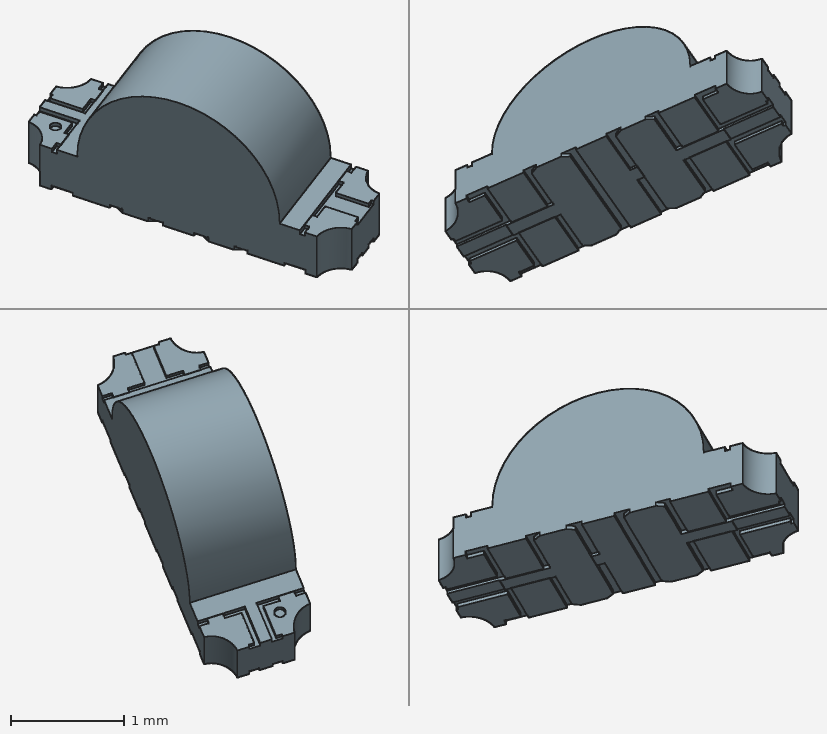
import cadquery as cq

LENGTH = 3.2
WIDTH = 1.0
HEIGHT = 1.5
HALF_LENGTH = LENGTH / 2
HALF_WIDTH = WIDTH / 2

BOTTOM_FILM_Z = 0.01
BOTTOM_CORE_Z = 0.04
TOP_CORE_Z = 0.44
TOP_PAD_Z = 0.477
LEDGE_Z = 0.483

LENS_CENTRE_Z = 0.5
LENS_RADIUS = HEIGHT - LENS_CENTRE_Z

CORNER_RADIUS = 0.25
CORNER_OFFSET = 0.02

LEDGE_HALF_LENGTH = 1.203
CHANNEL_WIDTH = 0.048
PAD_INNER_Y = 0.102
STEM_HALF_WIDTH = PAD_INNER_Y - CHANNEL_WIDTH
LINK_INNER_Y = 0.26
LINK_OUTER_Y = 0.41
END_NOTCH_Y = 0.157
END_NOTCH_DEPTH = 0.022

HOLE_RADIUS = 0.05
HOLE_X = -1.36
HOLE_Y = -0.218

END_PAD_INNER_X = 1.1
END_PAD_SIDE_X = 1.258
END_PAD_STEP_DEPTH = 0.05
END_CHANNEL_INNER_X = 1.045
BOTTOM_PAD_INNER_Y = 0.128
BOTTOM_STEM_HALF_WIDTH = 0.065
BOTTOM_NOTCH_Y = 0.157

MIDDLE_PAD_X = 0.425
MIDDLE_PAD_SIDE_HALF = 0.125
MIDDLE_PAD_CHAMFER_X = 0.07
MIDDLE_PAD_CHAMFER_Y = 0.04
MIDDLE_PAD_HALF = MIDDLE_PAD_SIDE_HALF + MIDDLE_PAD_CHAMFER_X
MIDDLE_CHANNEL_OUTER_X = 0.68
MIDDLE_CHANNEL_INNER_X = 0.155
ARM_HALF_WIDTH = BOTTOM_STEM_HALF_WIDTH

CORE = (BOTTOM_CORE_Z, TOP_CORE_Z)
FULL_Y = (-HALF_WIDTH, HALF_WIDTH)
TOP_PAD = (TOP_CORE_Z, TOP_PAD_Z)
TOP_FILM = (TOP_CORE_Z, LEDGE_Z)
BOTTOM_PAD = (0, BOTTOM_CORE_Z)
BOTTOM_FILM = (BOTTOM_FILM_Z, BOTTOM_CORE_Z)


def block(x_range, y_range, z_range):
    """Box spanning the two values given along each axis, in either order."""
    spans = [sorted(ends) for ends in (x_range, y_range, z_range)]
    sizes = [high - low for low, high in spans]
    corner = tuple(low for low, high in spans)
    return cq.Workplane("XY").box(*sizes, centered=False).translate(corner)


def lens():
    """Half-round lens on short upright sides, across the full width."""
    return (
        cq.Workplane("XZ", origin=(0, HALF_WIDTH, 0))
        .moveTo(-LENS_RADIUS, LEDGE_Z)
        .lineTo(-LENS_RADIUS, LENS_CENTRE_Z)
        .threePointArc((0, HEIGHT), (LENS_RADIUS, LENS_CENTRE_Z))
        .lineTo(LENS_RADIUS, LEDGE_Z)
        .close()
        .extrude(WIDTH)
    )


def top_pad(end, side):
    """Pad on one corner of the top, linked to the ledge; end and side are +1 or -1."""
    channel_x = LEDGE_HALF_LENGTH + CHANNEL_WIDTH
    pad = block((end * channel_x, end * HALF_LENGTH), (side * PAD_INNER_Y, side * HALF_WIDTH), TOP_PAD)
    link = block(
        (end * LEDGE_HALF_LENGTH, end * channel_x), (side * LINK_INNER_Y, side * LINK_OUTER_Y), TOP_PAD
    )
    notch = block(
        (end * (HALF_LENGTH - END_NOTCH_DEPTH), end * HALF_LENGTH),
        (side * PAD_INNER_Y, side * END_NOTCH_Y),
        TOP_PAD,
    )
    return pad.union(link).cut(notch)


def bottom_end_pad(end, side):
    """Corner pad with a rectangular step out of its inner corner at the long side."""
    pad = block(
        (end * END_PAD_INNER_X, end * HALF_LENGTH), (side * BOTTOM_PAD_INNER_Y, side * HALF_WIDTH), BOTTOM_PAD
    )
    step = block(
        (end * END_PAD_INNER_X, end * END_PAD_SIDE_X),
        (side * (HALF_WIDTH - END_PAD_STEP_DEPTH), side * HALF_WIDTH),
        BOTTOM_PAD,
    )
    notch = block(
        (end * (HALF_LENGTH - END_NOTCH_DEPTH), end * HALF_LENGTH),
        (side * BOTTOM_PAD_INNER_Y, side * BOTTOM_NOTCH_Y),
        BOTTOM_PAD,
    )
    return pad.cut(step).cut(notch)


def bottom_middle_pad(end):
    """Pad across the full width with bevelled corners, and an arm towards the end."""
    side_y = HALF_WIDTH - MIDDLE_PAD_CHAMFER_Y
    quarter = [(MIDDLE_PAD_HALF, side_y), (MIDDLE_PAD_SIDE_HALF, HALF_WIDTH)]
    half = quarter + [(-x, y) for x, y in reversed(quarter)]
    outline = half + [(-x, -y) for x, y in half]
    pad = cq.Workplane("XY").center(end * MIDDLE_PAD_X, 0).polyline(outline).close().extrude(BOTTOM_CORE_Z)
    arm = block(
        (end * MIDDLE_PAD_X, end * END_PAD_INNER_X), (-ARM_HALF_WIDTH, ARM_HALF_WIDTH), BOTTOM_PAD
    )
    return pad.union(arm)


def bottom_film():
    """Film between the pads: a centre bar, and a T at each end."""
    film = block((-MIDDLE_CHANNEL_INNER_X, MIDDLE_CHANNEL_INNER_X), FULL_Y, BOTTOM_FILM)
    film = film.union(
        block((-MIDDLE_PAD_X, 0), (-BOTTOM_STEM_HALF_WIDTH, BOTTOM_STEM_HALF_WIDTH), BOTTOM_FILM)
    )
    for end in (-1, 1):
        bar = block((end * MIDDLE_CHANNEL_OUTER_X, end * END_CHANNEL_INNER_X), FULL_Y, BOTTOM_FILM)
        stem = block(
            (end * MIDDLE_CHANNEL_OUTER_X, end * HALF_LENGTH),
            (-BOTTOM_STEM_HALF_WIDTH, BOTTOM_STEM_HALF_WIDTH),
            BOTTOM_FILM,
        )
        film = film.union(bar).union(stem)
    return film


body = block((-HALF_LENGTH, HALF_LENGTH), FULL_Y, CORE)
body = body.union(block((-LEDGE_HALF_LENGTH, LEDGE_HALF_LENGTH), FULL_Y, TOP_FILM))
body = body.union(
    block((-HALF_LENGTH, -LEDGE_HALF_LENGTH), (-STEM_HALF_WIDTH, STEM_HALF_WIDTH), TOP_FILM)
)
body = body.union(lens()).union(bottom_film())

for end in (-1, 1):
    body = body.union(bottom_middle_pad(end))
    for side in (-1, 1):
        body = body.union(top_pad(end, side)).union(bottom_end_pad(end, side))

pinhole = (
    cq.Workplane("XY", origin=(HOLE_X, HOLE_Y, TOP_CORE_Z))
    .circle(HOLE_RADIUS)
    .extrude(TOP_PAD_Z - TOP_CORE_Z)
)
body = body.cut(pinhole)

corner_notches = (
    cq.Workplane("XY")
    .rect(LENGTH + 2 * CORNER_OFFSET, WIDTH + 2 * CORNER_OFFSET, forConstruction=True)
    .vertices()
    .circle(CORNER_RADIUS)
    .extrude(LEDGE_Z)
)
result = body.cut(corner_notches)